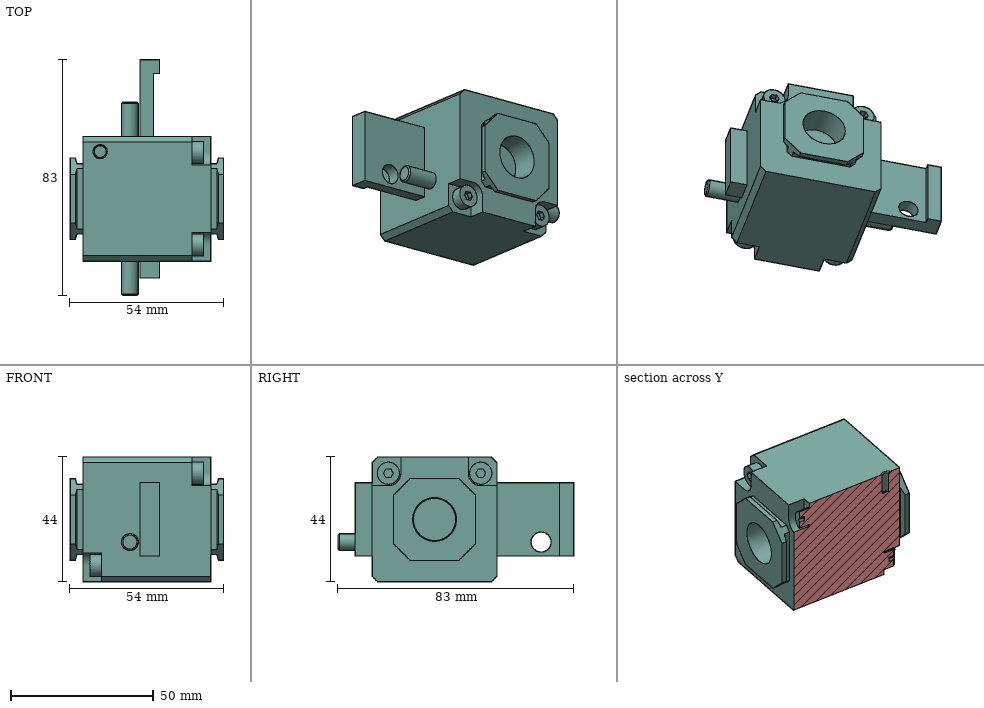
import cadquery as cq

TOTAL_WIDTH = 54.0
BLOCK_WIDTH = 45.0
BLOCK_SIDE = 44.0
BLOCK_CHAMFER = 2.0

FLANGE_SIDE = 28.8
NECK_SIDE = 24.8
RIM_THICKNESS = 1.8
GROOVE_SLOPE = 0.6
FLANGE_CORNER_CUT = 5.8
BORE_MOUTH_DIAMETER = 15.4
BORE_BOTTOM_DIAMETER = 14.85
BORE_DEPTH = 10.0

NOTCH_SIDE = 10.1
NOTCH_DEPTH = 6.55
SCREW_OFFSET = 16.3
HEAD_DIAMETER = 7.8
HEAD_HEIGHT = 4.1
HEX_ACROSS_CORNERS = 3.5
HEX_DEPTH = 2.0

PIN_DIAMETER = 6.0
PIN_LENGTH = 68.0
PIN_CHAMFER = 0.5
PIN_X = -6.0
PIN_Z = -8.0

TOTAL_LENGTH = 83.0
BAR_LEFT = -2.5
BAR_WIDTH = 7.0
BAR_HEIGHT = 25.9
BAR_FRONT = -28.0
BAR_STEM_WIDTH = 4.9
HOOK_LENGTH = 5.0
BAR_HOLE_DIAMETER = 7.0
BAR_HOLE_Y = 37.5

TOP_HOLE_DIAMETER = 4.15
TOP_HOLE_CHAMFER = 0.4
TOP_HOLE_DEPTH = 8.3
TOP_HOLE_X = -16.4
TOP_HOLE_Y = 16.6

BLOCK_END = BLOCK_WIDTH / 2
BLOCK_FACE = BLOCK_SIDE / 2
FLANGE_END = TOTAL_WIDTH / 2
NOTCH_FLOOR = BLOCK_END - NOTCH_DEPTH


def both_ends(shape):
    """Return the -X shape together with its copy turned half a turn about Y."""
    return shape.union(shape.rotate((0, 0, 0), (0, 1, 0), 180))


def make_block():
    return cq.Workplane("XY").box(BLOCK_WIDTH, BLOCK_SIDE, BLOCK_SIDE).edges("|X").chamfer(BLOCK_CHAMFER)


def make_flange():
    """Square flange on a narrower neck at the -X end, all four corners cut by 45 degree planes."""
    rim, neck = FLANGE_SIDE / 2, NECK_SIDE / 2
    rim_back = -FLANGE_END + RIM_THICKNESS
    slope_back = rim_back + GROOVE_SLOPE
    half_outline = [
        (-FLANGE_END, rim),
        (rim_back, rim),
        (slope_back, neck),
        (-BLOCK_END, neck),
    ]
    outline = half_outline + [(x, -side) for x, side in reversed(half_outline)]
    across_z = cq.Workplane("XY").polyline(outline).close().extrude(rim, both=True)
    across_y = cq.Workplane("XZ").polyline(outline).close().extrude(rim, both=True)
    octagon = (
        cq.Workplane("XY")
        .box(TOTAL_WIDTH, FLANGE_SIDE, FLANGE_SIDE)
        .edges("|X")
        .chamfer(FLANGE_CORNER_CUT)
    )
    return across_z.intersect(across_y).intersect(octagon)


def make_bore():
    """Blind, slightly tapered bore in the -X end."""
    return (
        cq.Workplane("YZ", origin=(-FLANGE_END, 0, 0))
        .circle(BORE_MOUTH_DIAMETER / 2)
        .workplane(offset=BORE_DEPTH)
        .circle(BORE_BOTTOM_DIAMETER / 2)
        .loft()
    )


def make_notches():
    """Notches in the two lower corners of the -X end, rounded around the screw axes."""
    centre = BLOCK_FACE - NOTCH_SIDE / 2
    inner_edge = BLOCK_FACE - NOTCH_SIDE
    inner_radius = SCREW_OFFSET - inner_edge
    notches = (
        cq.Workplane("YZ", origin=(-BLOCK_END, 0, 0))
        .pushPoints([(-centre, -centre), (centre, -centre)])
        .rect(NOTCH_SIDE, NOTCH_SIDE)
        .extrude(NOTCH_DEPTH)
    )
    for side in (-1, 1):
        edge_point = (-BLOCK_END + NOTCH_DEPTH / 2, side * inner_edge, -inner_edge)
        notches = notches.edges(cq.selectors.NearestToPointSelector(edge_point)).fillet(inner_radius)
    return notches


def make_screws():
    """Hex-socket screw heads standing on the notch floors of the -X end."""
    places = [(-SCREW_OFFSET, -SCREW_OFFSET), (SCREW_OFFSET, -SCREW_OFFSET)]
    heads = (
        cq.Workplane("YZ", origin=(-NOTCH_FLOOR, 0, 0))
        .pushPoints(places)
        .circle(HEAD_DIAMETER / 2)
        .extrude(-HEAD_HEIGHT)
    )
    sockets = (
        cq.Workplane("YZ", origin=(-NOTCH_FLOOR - HEAD_HEIGHT, 0, 0))
        .pushPoints(places)
        .polygon(6, HEX_ACROSS_CORNERS)
        .extrude(HEX_DEPTH)
    )
    return heads.cut(sockets)


def make_pin():
    return (
        cq.Workplane("XZ", origin=(PIN_X, 0, PIN_Z))
        .circle(PIN_DIAMETER / 2)
        .extrude(PIN_LENGTH / 2, both=True)
        .edges()
        .chamfer(PIN_CHAMFER)
    )


def make_bar():
    """Flat bar through the block; its rear stem is thinner and ends in a hook with a cross hole."""
    right = BAR_LEFT + BAR_WIDTH
    stem_right = BAR_LEFT + BAR_STEM_WIDTH
    rear = TOTAL_LENGTH - PIN_LENGTH / 2
    outline = [
        (BAR_LEFT, BAR_FRONT),
        (right, BAR_FRONT),
        (right, 0),
        (stem_right, 0),
        (stem_right, rear - HOOK_LENGTH),
        (right, rear - HOOK_LENGTH),
        (right, rear),
        (BAR_LEFT, rear),
    ]
    bar = cq.Workplane("XY").polyline(outline).close().extrude(BAR_HEIGHT / 2, both=True)
    hole = (
        cq.Workplane("YZ", origin=(BAR_LEFT, BAR_HOLE_Y, PIN_Z))
        .circle(BAR_HOLE_DIAMETER / 2)
        .extrude(BAR_WIDTH)
    )
    return bar.cut(hole)


def make_top_hole():
    top_diameter = TOP_HOLE_DIAMETER + 2 * TOP_HOLE_CHAMFER
    top = cq.Workplane("XY", origin=(TOP_HOLE_X, TOP_HOLE_Y, BLOCK_FACE))
    drill = top.circle(TOP_HOLE_DIAMETER / 2).extrude(-TOP_HOLE_DEPTH)
    countersink = top.circle(top_diameter / 2).extrude(-TOP_HOLE_CHAMFER, taper=45)
    return drill.union(countersink)


result = (
    make_block()
    .union(both_ends(make_flange()))
    .cut(both_ends(make_notches()))
    .union(both_ends(make_screws()))
    .union(make_pin())
    .union(make_bar())
    .cut(both_ends(make_bore()))
    .cut(make_top_hole())
)